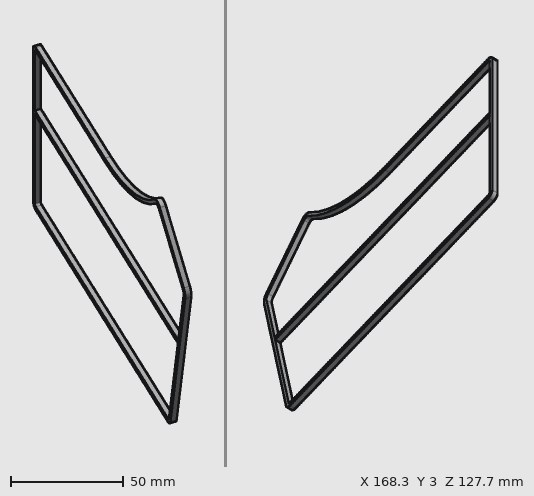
import cadquery as cq
import math

thickness = 3.0
rail_width = 2.0
overall_length = 168.29
overall_height = 127.68
left_height = 102.0
level_length = 79.2
crossbar_height = 60.5
lean_angle = 10.0
fall_angle = 45.0

corner_radius = 3.0
sweep_radius = 74.5
tip_radius = 4.0
shoulder_radius = 6.0

LEFT, UP, DOWN = 180.0, 90.0, -90.0
fall_normal = UP - fall_angle
lean_normal = -lean_angle


def polar(center, radius, angle):
    """Point at the given radius and angle (degrees) around a center."""
    turn = math.radians(angle)
    return (center[0] + radius * math.cos(turn), center[1] + radius * math.sin(turn))


def distance_along(point, angle):
    """Component of a point along the direction at the given angle."""
    turn = math.radians(angle)
    return point[0] * math.cos(turn) + point[1] * math.sin(turn)


sweep_center = (level_length, left_height + sweep_radius)
tip_center_z = overall_height - tip_radius
center_rise = sweep_center[1] - tip_center_z
center_run = math.sqrt((sweep_radius + tip_radius) ** 2 - center_rise**2)
tip_center = (level_length + center_run, tip_center_z)
sweep_end = math.degrees(math.atan2(-center_rise, center_run))
tip_start = sweep_end + LEFT

fall_offset = distance_along(tip_center, fall_normal) + tip_radius
shoulder_x = overall_length - shoulder_radius
fall_turn = math.radians(fall_normal)
shoulder_z = (fall_offset - shoulder_radius - shoulder_x * math.cos(fall_turn)) / math.sin(fall_turn)
shoulder_center = (shoulder_x, shoulder_z)

lean_offset = distance_along(shoulder_center, lean_normal) + shoulder_radius
lean_turn = math.radians(lean_normal)
lower_right_x = (lean_offset - corner_radius - corner_radius * math.sin(lean_turn)) / math.cos(lean_turn)

lower_left = (corner_radius, corner_radius)
upper_left = (corner_radius, left_height - corner_radius)
lower_right = (lower_right_x, corner_radius)


def add_arc(path, center, radius, start, end):
    """Continue a path, already at the start angle, round the arc to the end angle."""
    middle = (start + end) / 2
    return path.threePointArc(polar(center, radius, middle), polar(center, radius, end))


def plate(inset):
    """Solid plate bounded by the frame outline moved inwards by the inset."""
    corner = corner_radius - inset
    sweep = sweep_radius + inset
    tip = tip_radius - inset
    shoulder = shoulder_radius - inset

    path = cq.Workplane("XZ").moveTo(*polar(upper_left, corner, LEFT))
    path = add_arc(path, upper_left, corner, LEFT, UP)
    path = path.lineTo(*polar(sweep_center, sweep, DOWN))
    path = add_arc(path, sweep_center, sweep, DOWN, sweep_end)
    path = add_arc(path, tip_center, tip, tip_start, fall_normal)
    path = path.lineTo(*polar(shoulder_center, shoulder, fall_normal))
    path = add_arc(path, shoulder_center, shoulder, fall_normal, lean_normal)
    path = path.lineTo(*polar(lower_right, corner, lean_normal))
    path = add_arc(path, lower_right, corner, lean_normal, DOWN)
    path = path.lineTo(*polar(lower_left, corner, DOWN))
    path = add_arc(path, lower_left, corner, DOWN, -LEFT)
    return path.close().extrude(-thickness)


def crossbar(body):
    """Level bar reaching from the left rail to the leaning rail."""
    bar = (
        cq.Workplane("XY")
        .box(overall_length, thickness, rail_width, centered=(False, False, True))
        .translate((0, 0, crossbar_height))
    )
    return bar.intersect(body)


outer = plate(0.0)
frame = outer.cut(plate(rail_width))
result = frame.union(crossbar(outer))